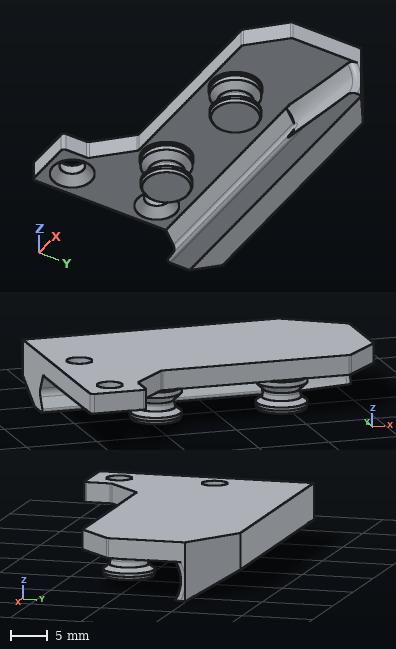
import cadquery as cq
import math

length = 45.0
width = 30.4
height = 8.2
plate_thickness = 2.8
plate_bottom = height - plate_thickness
back_corner_x = 8.4
back_corner_y = 5.45
front_edge_y = 9.0
front_chamfer = 4.95
tab_width = 8.0
tab_corner_y = 4.0
tab_chamfer = front_edge_y - tab_corner_y
corner_radius = 0.5

hole_diameter = 3.45
hole_x = 3.95
hole_front_y = 3.95
hole_spacing = 13.5
countersink_depth = 1.35
countersink_radius = 3.05

flank_slope = math.tan(math.radians(30))
rail_bottom_start = 5.3
root_depth = 7.55
root_y = width - root_depth
root_z = plate_bottom / 2
root_radius = 1.2
lip_radius = 0.4
rail_front_y = root_y - root_z * flank_slope

flare_start = 31.5
flare_end = 44.15
flare_start_radius = 3.2
flare_end_radius = 4.75
flare_axis_y = 19.4
entry_radius = length - flare_end

knob_positions = (13.5, 31.5)
knob_y = 13.2
knob_radius = 3.55
flange_radius = 3.7
neck_radius = 2.7
waist_radius = 2.5
knob_bottom_radius = 3.35
knob_bottom = 0.4
rim_bottom = 0.9
rim_top = 1.35
neck_bottom = 2.02
waist_bottom = 2.75
waist_top = 3.1
collar_bottom = 4.15
collar_top = 4.9
flange_bottom = 5.15


def make_plate():
    outline = [
        (0, 0),
        (tab_width, 0),
        (tab_width, tab_corner_y),
        (tab_width + tab_chamfer, front_edge_y),
        (length - front_chamfer, front_edge_y),
        (length, front_edge_y + front_chamfer),
        (length, width - back_corner_y),
        (length - back_corner_x, width),
        (0, width),
    ]
    plate = cq.Workplane("XY").polyline(outline).close().extrude(plate_thickness)
    plate = plate.translate((0, 0, plate_bottom))
    front_corners = cq.selectors.BoxSelector((-0.45, -0.45, 0), (length + 0.45, width - back_corner_y - 0.45, height))
    plate = plate.edges("|Z").edges(front_corners).fillet(corner_radius)
    holes = [(hole_x, hole_front_y), (hole_x, hole_front_y + hole_spacing)]
    cutter = cq.Workplane("XY").pushPoints(holes).circle(hole_diameter / 2).extrude(height)
    plate = plate.cut(cutter)
    countersink = cq.Solid.makeCone(countersink_radius, hole_diameter / 2, countersink_depth)
    for x, y in holes:
        plate = plate.cut(cq.Workplane(countersink.translate(cq.Vector(x, y, plate_bottom))))
    return plate


def make_rail():
    section = [
        (width, plate_bottom),
        (width, rail_bottom_start * flank_slope),
        (width - rail_bottom_start, 0),
        (rail_front_y, 0),
        (root_y, root_z),
        (rail_front_y, plate_bottom),
    ]
    rail = cq.Workplane("YZ").polyline(section).close().extrude(length)
    root_edge = cq.selectors.NearestToPointSelector((length / 2, root_y, root_z))
    lip_edge = cq.selectors.NearestToPointSelector((length / 2, rail_front_y, 0))
    rail = rail.edges(root_edge).fillet(root_radius)
    rail = rail.edges(lip_edge).fillet(lip_radius)
    corner = (
        cq.Workplane("XY")
        .moveTo(length, width)
        .lineTo(length - back_corner_x, width)
        .lineTo(length, width - back_corner_y)
        .close()
        .extrude(plate_bottom)
    )
    return rail.cut(corner).cut(make_flare())


def make_flare():
    """Conical cutter along X that opens the groove and rounds over the end of the rail."""
    diagonal = entry_radius * math.sqrt(0.5)
    arc_middle = (flare_end + diagonal, flare_end_radius + entry_radius - diagonal)
    profile = (
        cq.Workplane("XY")
        .moveTo(flare_start, 0)
        .lineTo(flare_start, flare_start_radius)
        .lineTo(flare_end, flare_end_radius)
        .threePointArc(arc_middle, (length, flare_end_radius + entry_radius))
        .lineTo(length, 0)
        .close()
    )
    return profile.revolve(360, (0, 0, 0), (1, 0, 0)).translate((0, flare_axis_y, root_z))


def make_knob(x):
    profile = (
        cq.Workplane("XZ")
        .moveTo(0, knob_bottom)
        .lineTo(knob_bottom_radius, knob_bottom)
        .lineTo(knob_radius, rim_bottom)
        .lineTo(knob_radius, rim_top)
        .lineTo(neck_radius, neck_bottom)
        .lineTo(waist_radius, waist_bottom)
        .lineTo(waist_radius, waist_top)
        .lineTo(knob_radius, collar_bottom)
        .lineTo(knob_radius, collar_top)
        .lineTo(flange_radius, flange_bottom)
        .lineTo(flange_radius, plate_bottom)
        .lineTo(0, plate_bottom)
        .close()
    )
    return profile.revolve(360, (0, 0, 0), (0, 1, 0)).translate((x, knob_y, 0))


result = make_plate().union(make_rail())
for knob_x in knob_positions:
    result = result.union(make_knob(knob_x))